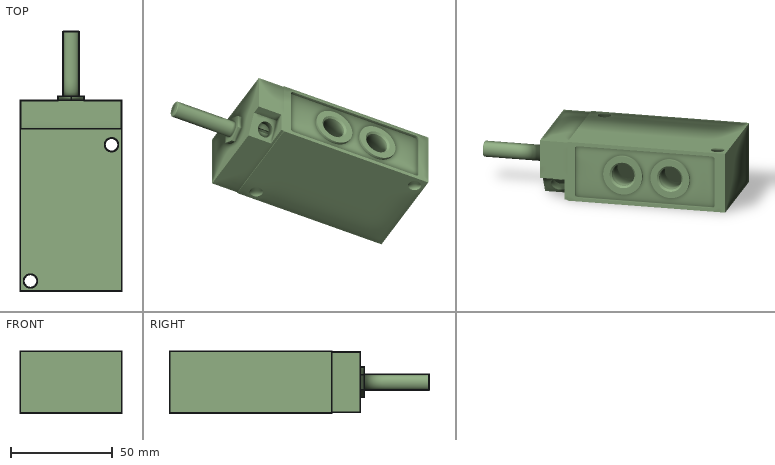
import cadquery as cq
import math

overall_length = 128.0
body_width = 50.0
body_height = 30.5
body_length = 80.0
head_length = 14.0
head_width = 49.8
head_height = 29.7
nut_thickness = 2.0

stem_diameter = 8.0
stem_chamfer = 0.4
nut_across_corners = 15.0

mount_hole_diameter = 6.5
mount_hole_offset_x = 20.0
front_hole_inset = 5.0
rear_hole_inset = 8.0

recess_length = 70.8
recess_height = 26.8
recess_depth = 1.5
recess_corner_radius = 1.5
recess_front_inset = 5.4
port_spacing = 24.0
port_boss_diameter = 19.7
port_diameter = 11.4
port_depth = 12.8
port_chamfer = 0.9

slope_angle = 30.0
slope_height = 10.4
slope_wall = 1.4
ledge_depth = 5.0
screw_hole_diameter = 8.0
screw_head_diameter = 7.0
screw_head_sink = 3.6
screw_rear_inset = 7.8
screw_drop = 5.4
slot_width = 1.5
slot_depth = 1.3

front_y = -overall_length / 2
body_rear_y = front_y + body_length
head_rear_y = body_rear_y + head_length
nut_rear_y = head_rear_y + nut_thickness
stem_length = front_y + overall_length - nut_rear_y
body_middle_y = front_y + body_length / 2
side_x = -body_width / 2
ledge_x = -head_width / 2 + ledge_depth
slope_top_z = -head_height / 2 + slope_height
slope_tilt = math.radians(slope_angle)


def block(width, length, height, start_y):
    """Block centred on Z and running toward +Y."""
    middle_y = start_y + length / 2
    return cq.Workplane("XY").box(width, length, height).translate((0, middle_y, 0))


def stem_and_nut():
    nut = (
        cq.Workplane("XZ", origin=(0, head_rear_y, 0))
        .transformed(rotate=(0, 0, 90))
        .polygon(6, nut_across_corners)
        .extrude(-nut_thickness)
    )
    stem = (
        cq.Workplane("XZ", origin=(0, nut_rear_y, 0))
        .circle(stem_diameter / 2)
        .extrude(-stem_length)
        .faces(">Y")
        .chamfer(stem_chamfer)
    )
    return nut.union(stem)


def mounting_holes():
    places = [
        (-mount_hole_offset_x, front_y + front_hole_inset),
        (mount_hole_offset_x, body_rear_y - rear_hole_inset),
    ]
    return (
        cq.Workplane("XY", origin=(0, 0, -body_height / 2))
        .pushPoints(places)
        .circle(mount_hole_diameter / 2)
        .extrude(body_height)
    )


def side_plane(middle_y):
    """Plane on the -X side, entered by negative extrusions; local X is -Y."""
    return cq.Workplane(cq.Plane((side_x, middle_y, 0), xDir=(0, -1, 0), normal=(-1, 0, 0)))


def label_recess():
    """Shallow recess that leaves a boss around each port level with the side."""
    recess = (
        side_plane(front_y + recess_front_inset + recess_length / 2)
        .rect(recess_length, recess_height)
        .extrude(-recess_depth)
        .edges("|X")
        .fillet(recess_corner_radius)
    )
    bosses = (
        side_plane(body_middle_y)
        .rarray(port_spacing, 1.3, 2, 1)
        .circle(port_boss_diameter / 2)
        .extrude(-recess_depth)
    )
    return recess.cut(bosses)


def ports():
    drill = (
        side_plane(body_middle_y)
        .rarray(port_spacing, 1.3, 2, 1)
        .circle(port_diameter / 2)
        .extrude(-port_depth)
    )
    mouths = (
        side_plane(body_middle_y)
        .rarray(port_spacing, 1.3, 2, 1)
        .circle(port_diameter / 2 + port_chamfer)
        .extrude(-port_chamfer, taper=45)
    )
    return drill.union(mouths)


def sloped_corner():
    """Ledge and slope cut into the lower -X corner of the head, open toward +Y."""
    bottom_z = -head_height / 2
    slope_run = slope_height * math.tan(slope_tilt)
    profile = [
        (side_x, slope_top_z),
        (ledge_x, slope_top_z),
        (ledge_x + slope_run, bottom_z),
        (side_x, bottom_z),
    ]
    return (
        cq.Workplane("XZ", origin=(0, body_rear_y + slope_wall, 0))
        .polyline(profile)
        .close()
        .extrude(slope_wall - head_length)
    )


def screw_hole():
    """Hole square to the slope, leaving a slotted screw head standing on its floor."""
    centre = (
        ledge_x + screw_drop * math.tan(slope_tilt),
        head_rear_y - screw_rear_inset,
        slope_top_z - screw_drop,
    )
    outward = (-math.cos(slope_tilt), 0, -math.sin(slope_tilt))
    slope = cq.Workplane(cq.Plane(centre, xDir=(0, -1, 0), normal=outward))
    hole_depth = screw_head_sink + slot_depth
    hole = slope.circle(screw_hole_diameter / 2).extrude(-hole_depth)
    slot = slope.rect(screw_hole_diameter, slot_width).extrude(-hole_depth)
    screw_head = (
        slope.workplane(offset=-hole_depth)
        .circle(screw_head_diameter / 2)
        .extrude(slot_depth)
        .cut(slot)
    )
    return hole.cut(screw_head)


result = (
    block(body_width, body_length, body_height, front_y)
    .union(block(head_width, head_length, head_height, body_rear_y))
    .union(stem_and_nut())
    .cut(mounting_holes())
    .cut(label_recess())
    .cut(ports())
    .cut(sloped_corner())
    .cut(screw_hole())
)